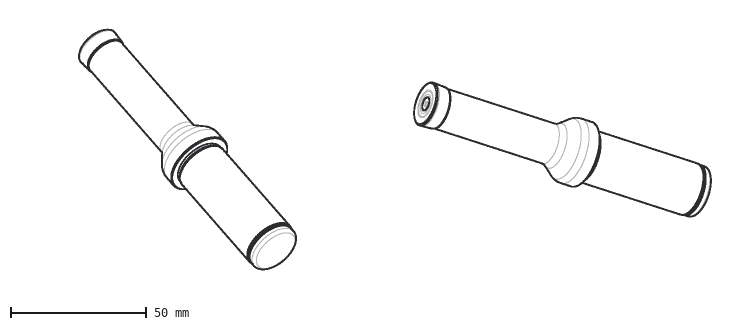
import cadquery as cq
import math


total_length = 118.0
head_length = 6.3
neck_blend_start = 53.1
flare_start = 55.9
flare_end = 60.2
collar_start = 63.0
collar_end = 68.0
relief_end = 69.0
shank_start = 69.7
shank_end = 114.1
groove_start = 114.8
groove_width = 0.5

front_shank_diameter = 15.5
head_diameter = 16.6
head_rear_diameter = 16.0
collar_diameter = 25.0
shank_diameter = 20.0
relief_diameter = 19.5
groove_depth = 0.1

head_front_chamfer_length = 0.5
head_front_chamfer_height = 0.5
head_front_land_end = 1.0
head_rear_chamfer = 0.5
collar_chamfer = 0.4
end_fillet = 1.2

flare_angle = math.radians(35)
flare_rise_low = (flare_start - neck_blend_start) * math.tan(flare_angle / 2)
flare_rise_high = (collar_start - flare_end) * math.tan(flare_angle / 2)

recess_diameter = 10.6
recess_floor_diameter = 9.7
recess_depth = 0.1
socket_diameter = 7.3
socket_floor_diameter = 5.9
socket_depth = 0.2
bore_diameter = 5.0
bore_depth = 0.4
center_diameter = 2.1
center_floor_diameter = 1.2
center_depth = 0.5


def revolve_about_x(profile):
    return profile.close().revolve(360, (0, 0, 0), (1, 0, 0))


def make_head():
    front = head_diameter / 2
    rear = head_rear_diameter / 2
    profile = (
        cq.Workplane("XY")
        .moveTo(head_length, 0)
        .lineTo(head_length, rear - head_rear_chamfer / 2)
        .lineTo(head_length - head_rear_chamfer, rear)
        .lineTo(head_front_land_end, front)
        .lineTo(head_front_chamfer_length, front)
        .lineTo(0, front - head_front_chamfer_height)
        .lineTo(0, recess_diameter / 2)
        .lineTo(recess_depth, recess_floor_diameter / 2)
        .lineTo(recess_depth, socket_diameter / 2)
        .lineTo(socket_depth, socket_floor_diameter / 2)
        .lineTo(socket_depth, bore_diameter / 2)
        .lineTo(bore_depth, bore_diameter / 2)
        .lineTo(bore_depth, center_diameter / 2)
        .lineTo(center_depth, center_floor_diameter / 2)
        .lineTo(center_depth, 0)
    )
    return revolve_about_x(profile)


def make_holder():
    neck = front_shank_diameter / 2
    collar = collar_diameter / 2
    shank = shank_diameter / 2
    relief = relief_diameter / 2
    groove_end = groove_start + groove_width
    profile = (
        cq.Workplane("XY")
        .moveTo(head_length, 0)
        .lineTo(head_length, neck)
        .lineTo(neck_blend_start, neck)
        .tangentArcPoint((flare_start, neck + flare_rise_low), relative=False)
        .lineTo(flare_end, collar - flare_rise_high)
        .tangentArcPoint((collar_start, collar), relative=False)
        .lineTo(collar_end - collar_chamfer, collar)
        .lineTo(collar_end, collar - collar_chamfer)
        .lineTo(collar_end, relief)
        .lineTo(relief_end, relief)
        .lineTo(shank_start, shank)
        .lineTo(shank_end, shank)
        .lineTo(shank_end, relief)
        .lineTo(groove_start, relief)
        .lineTo(groove_start, relief - groove_depth)
        .lineTo(groove_end, relief - groove_depth)
        .lineTo(groove_end, relief)
        .lineTo(total_length - end_fillet, relief)
        .tangentArcPoint((total_length, relief - end_fillet), relative=False)
        .lineTo(total_length, 0)
    )
    return revolve_about_x(profile)


head = make_head()
holder = make_holder()
result = cq.Compound.makeCompound([head.val(), holder.val()])